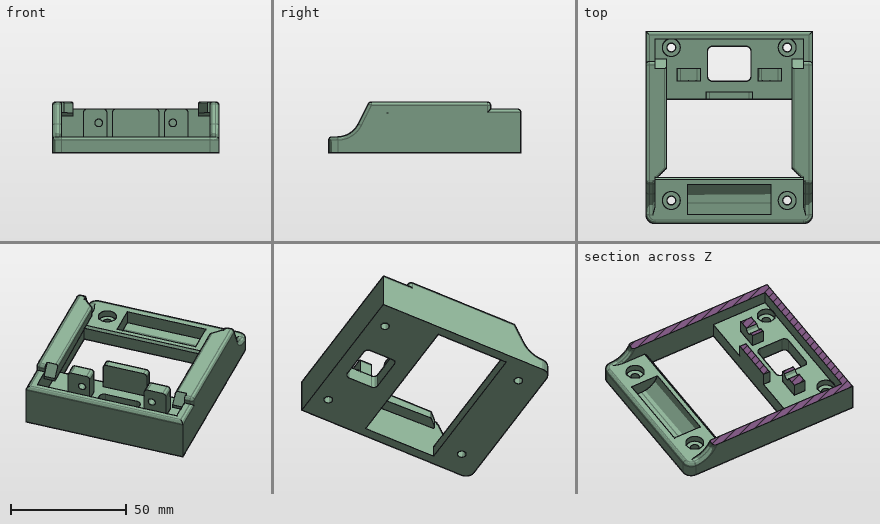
import cadquery as cq
import math

WIDTH = 72.0
DEPTH = 83.0
HEIGHT = 22.0
BACK_HEIGHT = 19.0
FLOOR = 7.0
SIDE_WALL = 4.0
BACK_WALL = 3.4
OUTER_FILLET = 1.5
FRONT_CORNER_RADIUS = 4.0
INNER_X = WIDTH / 2 - SIDE_WALL
BACK_INNER_Y = DEPTH - BACK_WALL

WALL_REAR_Y = 70.0
SLOPE_TOP_Y = 17.5
SLOPE_FOOT_Y = 10.0
SLOPE_ANGLE = math.atan2(HEIGHT - FLOOR, SLOPE_TOP_Y - SLOPE_FOOT_Y)
SLOPE_ARC_RADIUS = 10.0
CREST_FILLET_END_Y = SLOPE_TOP_Y + OUTER_FILLET * math.tan(SLOPE_ANGLE / 2)
SLOPE_INNER_FILLET = 1.0

FRONT_BAR_DEPTH = 20.0
FRONT_BAR_REAR_CHAMFER = 1.0
REAR_FLOOR_Y = 53.6

RAIL_REACH = 5.0
RAIL_FRONT_Y = FRONT_BAR_DEPTH
RAIL_RAMP_TOP_Y = 67.0
RAIL_REAR_Y = 71.0
RAIL_RAMP_FOOT_Z = 17.3
RAIL_REAR_UNDERSIDE_Z = 16.0
RAIL_FRONT_UNDERSIDE_Z = 17.4
RAIL_FRONT_CHAMFER = 4.0
RAIL_FILLET = 1.0
RAIL_END_FILLET = 0.6

UPRIGHT_FILLET = 1.5
TAB_WIDTH = 20.0
TAB_THICKNESS = 3.2
POST_WIDTH = 10.0
POST_CENTER_X = 17.5
POST_FRONT_Y = 61.6
POST_THICKNESS = 5.4
POST_HOLE_DIAMETER = 3.3
POST_HOLE_X = 16.0
POST_HOLE_Z = 13.0

WINDOW_WIDTH = 18.6
WINDOW_LENGTH = 15.0
WINDOW_CENTER_Y = 69.0
WINDOW_RADIUS = 2.0

SCREW_X = 25.0
SCREW_FRONT_Y = 10.0
SCREW_REAR_Y = 76.0
SCREW_DIAMETER = 3.7
COUNTERBORE_DIAMETER = 7.75
COUNTERBORE_DEPTH = 3.0

RECESS_WIDTH = 36.0
RECESS_FRONT_Y = 4.0
RECESS_FLAT_END_Y = 9.0
RECESS_REAR_Y = 17.0
RECESS_DEPTH = 6.0


def box(x_min, x_max, y_min, y_max, z_min, z_max):
    size = (x_max - x_min, y_max - y_min, z_max - z_min)
    return cq.Workplane("XY").box(*size, centered=False).translate((x_min, y_min, z_min))


def extrude_side_profile(profile, x_min, x_max):
    """Extrude a closed YZ outline from x_min to x_max."""
    return profile.extrude(x_max - x_min).translate((x_min, 0, 0))


def slope_arc_points():
    """Start, middle and end of the arc that blends the wall slope into the front bar."""
    center_y = SLOPE_FOOT_Y - SLOPE_ARC_RADIUS * math.tan(SLOPE_ANGLE / 2)
    center_z = FLOOR + SLOPE_ARC_RADIUS

    def point(turn):
        return (center_y + SLOPE_ARC_RADIUS * math.sin(turn), center_z - SLOPE_ARC_RADIUS * math.cos(turn))

    return point(SLOPE_ANGLE), point(SLOPE_ANGLE / 2), point(0)


def make_back_block():
    """Low block at the rear, rounded along the top of its outer sides."""
    block = box(-WIDTH / 2, WIDTH / 2, REAR_FLOOR_Y, DEPTH, 0, BACK_HEIGHT)
    rounded_edges = block.faces(">Z").edges("<X or >X or >Y")
    return block.newObject(rounded_edges.vals()).fillet(OUTER_FILLET)


def make_front_block():
    """Full-height walls with the front slope, still solid across the width."""
    arc_top, arc_middle, arc_foot = slope_arc_points()
    profile = (
        cq.Workplane("YZ")
        .moveTo(0, 0)
        .lineTo(WALL_REAR_Y, 0)
        .lineTo(WALL_REAR_Y, HEIGHT)
        .lineTo(SLOPE_TOP_Y, HEIGHT)
        .lineTo(*arc_top)
        .threePointArc(arc_middle, arc_foot)
        .lineTo(0, FLOOR)
        .close()
    )
    block = extrude_side_profile(profile, -WIDTH / 2, WIDTH / 2)
    block = block.edges("|Z").edges("<Y").fillet(FRONT_CORNER_RADIUS)
    crest_point = cq.selectors.NearestToPointSelector((0, SLOPE_TOP_Y, HEIGHT))
    crest = block.edges(crest_point)
    rear_edges = block.faces(">Y").edges("not <Z")
    above_base = cq.selectors.BoxSelector((-WIDTH, -DEPTH, FLOOR * 3 / 4), (WIDTH, DEPTH, 2 * HEIGHT))
    outline_edges = block.edges(above_base).edges("not |X")
    front_edge = block.edges("|X and <Y").edges(">Z")
    edges = crest.add(rear_edges).add(outline_edges).add(front_edge)
    return block.newObject(edges.vals()).fillet(OUTER_FILLET)


def make_rail(side):
    """Wedge-shaped rail on the inside of one wall; side is -1 or 1."""
    profile = cq.Workplane("YZ").polyline(
        [
            (RAIL_FRONT_Y, HEIGHT),
            (RAIL_RAMP_TOP_Y, HEIGHT),
            (RAIL_REAR_Y, RAIL_RAMP_FOOT_Z),
            (RAIL_REAR_Y, RAIL_REAR_UNDERSIDE_Z),
            (RAIL_FRONT_Y, RAIL_FRONT_UNDERSIDE_Z),
        ]
    ).close()
    rail = extrude_side_profile(profile, INNER_X - RAIL_REACH, INNER_X)
    rail = rail.edges("|Z").edges("<X").edges("<Y").chamfer(RAIL_FRONT_CHAMFER)
    rail = rail.faces(">Z").edges("<X").fillet(RAIL_FILLET)
    rail = rail.faces(">Z").edges("not (|X or |Y)").edges("<Y").fillet(RAIL_END_FILLET)
    return rail if side > 0 else rail.mirror("YZ")


def cut_interior(body):
    """Open the space between the walls down to the floor, and the floor between bar and rear floor."""
    body = body.cut(box(-INNER_X, INNER_X, 0, BACK_INNER_Y, FLOOR, HEIGHT))
    return body.cut(box(-INNER_X, INNER_X, FRONT_BAR_DEPTH, REAR_FLOOR_Y, 0, FLOOR))


def round_slope_inner_edges(body):
    """Round the inside of both wall slopes, working only on the part ahead of the level wall tops."""
    arc_top, _, _ = slope_arc_points()
    slope_middle = ((SLOPE_TOP_Y + arc_top[0]) / 2, (HEIGHT + arc_top[1]) / 2)
    front_zone = box(-WIDTH / 2, WIDTH / 2, 0, CREST_FILLET_END_Y, 0, HEIGHT)
    front = body.intersect(front_zone)
    for side in (-1, 1):
        slope_edge = cq.selectors.NearestToPointSelector((side * INNER_X, *slope_middle))
        front = front.edges(slope_edge).fillet(SLOPE_INNER_FILLET)
    return body.cut(front_zone).union(front)


def chamfer_front_bar(body):
    """Bevel the rear top edge of the front bar."""
    bar_edge = cq.selectors.NearestToPointSelector((0, FRONT_BAR_DEPTH, FLOOR))
    return body.edges(bar_edge).chamfer(FRONT_BAR_REAR_CHAMFER)


def make_upright(center_x, width, y_front, thickness):
    """Plate standing on the floor with rounded top corners."""
    plate = box(
        center_x - width / 2, center_x + width / 2, y_front, y_front + thickness, 0, BACK_HEIGHT
    )
    return plate.edges("|Y").edges(">Z").fillet(UPRIGHT_FILLET)


def make_post(side):
    """Drilled post; side is -1 or 1."""
    post = make_upright(side * POST_CENTER_X, POST_WIDTH, POST_FRONT_Y, POST_THICKNESS)
    hole = (
        cq.Workplane("XZ", origin=(side * POST_HOLE_X, POST_FRONT_Y, POST_HOLE_Z))
        .circle(POST_HOLE_DIAMETER / 2)
        .extrude(-POST_THICKNESS)
    )
    return post.cut(hole)


def cut_window(body):
    window = box(
        -WINDOW_WIDTH / 2,
        WINDOW_WIDTH / 2,
        WINDOW_CENTER_Y - WINDOW_LENGTH / 2,
        WINDOW_CENTER_Y + WINDOW_LENGTH / 2,
        0,
        FLOOR,
    )
    return body.cut(window.edges("|Z").fillet(WINDOW_RADIUS))


def cut_screw_holes(body):
    positions = [(x, y) for x in (-SCREW_X, SCREW_X) for y in (SCREW_FRONT_Y, SCREW_REAR_Y)]
    shanks = cq.Workplane("XY").pushPoints(positions).circle(SCREW_DIAMETER / 2).extrude(FLOOR)
    heads = (
        cq.Workplane("XY", origin=(0, 0, FLOOR))
        .pushPoints(positions)
        .circle(COUNTERBORE_DIAMETER / 2)
        .extrude(-COUNTERBORE_DEPTH)
    )
    return body.cut(shanks).cut(heads)


def cut_finger_recess(body):
    """Recess with a flat bottom at the front and an arc rising to the rear."""
    run = RECESS_REAR_Y - RECESS_FLAT_END_Y
    radius = (run**2 + RECESS_DEPTH**2) / (2 * RECESS_DEPTH)
    bottom = FLOOR - RECESS_DEPTH
    profile = (
        cq.Workplane("YZ")
        .moveTo(RECESS_FRONT_Y, FLOOR)
        .lineTo(RECESS_FRONT_Y, bottom)
        .lineTo(RECESS_FLAT_END_Y, bottom)
        .radiusArc((RECESS_REAR_Y, FLOOR), -radius)
        .close()
    )
    return body.cut(extrude_side_profile(profile, -RECESS_WIDTH / 2, RECESS_WIDTH / 2))


body = make_front_block().union(make_back_block())
body = cut_interior(body)
body = round_slope_inner_edges(body)
body = chamfer_front_bar(body)
body = cut_window(body)
body = cut_screw_holes(body)
body = cut_finger_recess(body)
body = body.union(make_upright(0, TAB_WIDTH, REAR_FLOOR_Y, TAB_THICKNESS))
for side in (-1, 1):
    body = body.union(make_rail(side)).union(make_post(side))

result = body